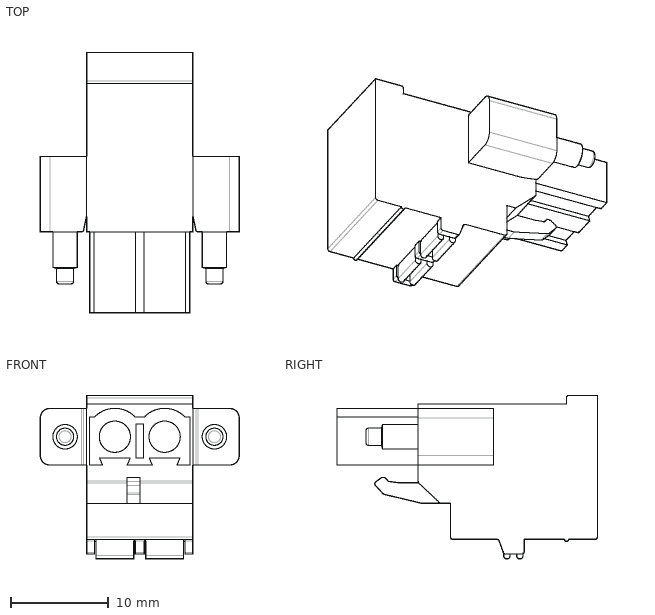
import cadquery as cq
import math


POLE_PITCH = 5.08
POLE_X = (-POLE_PITCH / 2, POLE_PITCH / 2)

TOTAL_LENGTH = 26.6

HOUSING_WIDTH = 10.83
HOUSING_LENGTH = 18.33
HOUSING_TOP = 3.35
HOUSING_BOTTOM = -10.48
REAR_LIP_TOP = 4.23
REAR_LIP_DEPTH = 3.2
STEP_Y = 3.3
STEP_Z = -6.8
RAMP_TOP_Z = -4.65
RAMP_LENGTH = 2.3
HOUSING_ROUND = 0.27
RIDGE_Y = 15.15
RIDGE_RADIUS = 0.2

PLUG_WIDTH = 10.21
PLUG_LENGTH = TOTAL_LENGTH - HOUSING_LENGTH
PLUG_BOTTOM = -2.9
PLUG_SHOULDER_Z = 2.0
DOME_RADIUS = 2.9
BORE_RADIUS = 1.6
BORE_DEPTH = 1.0
SLOT_WIDTH = 0.77
SLOT_TOP = 1.28
KEYWAY_TOP_Z = -2.18
KEYWAY_TOP_WIDTH = 3.1
KEYWAY_MOUTH_WIDTH = 2.53

FLANGE_SPAN = 20.32
FLANGE_LENGTH = 7.71
FLANGE_HEIGHT = 5.8
FLANGE_ROUND = 0.98
FLANGE_RELIEF_WIDTH = 0.35
FLANGE_RELIEF_LENGTH = 1.65
FLANGE_RELIEF_ROUND = 0.2
SCREW_X = 1.5 * POLE_PITCH
SCREW_RADIUS = 1.25
SCREW_SHANK_LENGTH = 3.62
SCREW_CONE_LENGTH = 0.1
SCREW_TIP_RADIUS = 0.88
SCREW_LENGTH = 5.32
SCREW_TIP_ROUND = 0.27

LATCH_WIDTH = 1.35
LATCH_X = -0.65
LATCH_ARM_TOP_Z = -4.68
LATCH_HOOK_TOP_Z = -4.15
LATCH_NOSE = (-4.55, -4.75)
LATCH_NOSE_ROUND = 0.27
LATCH_CHIN = (-3.5, -5.88)
LATCH_CHIN_ROUND = 0.53

RIB_BOTTOM = -11.97
RIB_REAR_Y = 10.85
RIB_FRONT_TOP_Y = 8.22
RIB_FRONT_BOTTOM_Y = 8.75
RIB_ROUND = 0.25
RIB_GAP = 4.15
PLATE_BOTTOM = -12.48
PLATE_WIDTH = 3.88
PLATE_THICKNESS = 0.66
PLATE_Y = (9.07, 10.4)


def side_profile(x_center):
    """Sketch plane with Y to the right and Z up, set at the given X."""
    return cq.Workplane("YZ", origin=(x_center, 0, 0))


def box_between(x_range, y_range, z_range):
    """Box filling the given ranges along X, Y and Z."""
    sizes = [high - low for low, high in (x_range, y_range, z_range)]
    corner = (x_range[0], y_range[0], z_range[0])
    return cq.Workplane("XY").box(*sizes, centered=False).translate(corner)


def make_housing():
    lip_front_y = HOUSING_LENGTH - REAR_LIP_DEPTH
    body = (
        side_profile(0)
        .moveTo(HOUSING_LENGTH, REAR_LIP_TOP)
        .lineTo(lip_front_y, REAR_LIP_TOP)
        .lineTo(lip_front_y, HOUSING_TOP)
        .lineTo(0, HOUSING_TOP)
        .lineTo(0, RAMP_TOP_Z)
        .lineTo(RAMP_LENGTH, STEP_Z)
        .lineTo(STEP_Y, STEP_Z)
        .lineTo(STEP_Y, HOUSING_BOTTOM)
        .lineTo(RIB_FRONT_TOP_Y, HOUSING_BOTTOM)
        .lineTo(RIB_FRONT_BOTTOM_Y, RIB_BOTTOM)
        .lineTo(RIB_REAR_Y, RIB_BOTTOM)
        .lineTo(RIB_REAR_Y, HOUSING_BOTTOM)
        .lineTo(HOUSING_LENGTH, HOUSING_BOTTOM)
        .close()
        .extrude(HOUSING_WIDTH / 2, both=True)
    )
    rounded_corners = (
        (lip_front_y, REAR_LIP_TOP, HOUSING_ROUND),
        (0, RAMP_TOP_Z, HOUSING_ROUND),
        (STEP_Y, HOUSING_BOTTOM, HOUSING_ROUND),
        (HOUSING_LENGTH, HOUSING_BOTTOM, HOUSING_ROUND),
        (RIB_FRONT_TOP_Y, HOUSING_BOTTOM, RIB_ROUND),
        (RIB_FRONT_BOTTOM_Y, RIB_BOTTOM, RIB_ROUND),
        (RIB_REAR_Y, RIB_BOTTOM, RIB_ROUND),
    )
    for y, z, radius in rounded_corners:
        body = body.edges(cq.NearestToPointSelector((0, y, z))).fillet(radius)
    for x in POLE_X:
        rib_gap = box_between(
            (x - RIB_GAP / 2, x + RIB_GAP / 2), (STEP_Y, RIB_REAR_Y), (RIB_BOTTOM, HOUSING_BOTTOM)
        )
        body = body.cut(rib_gap)
    ridge = (
        side_profile(0)
        .center(RIDGE_Y, HOUSING_BOTTOM)
        .circle(RIDGE_RADIUS)
        .extrude(HOUSING_WIDTH / 2, both=True)
    )
    return body.union(ridge)


def make_plug():
    plug = box_between(
        (-PLUG_WIDTH / 2, PLUG_WIDTH / 2), (-PLUG_LENGTH, 0), (PLUG_BOTTOM, PLUG_SHOULDER_Z)
    )
    dome_limits = box_between(
        (-PLUG_WIDTH / 2, PLUG_WIDTH / 2), (-PLUG_LENGTH, 0), (0, DOME_RADIUS)
    )
    for x in POLE_X:
        dome = cq.Workplane("XZ").center(x, 0).circle(DOME_RADIUS).extrude(PLUG_LENGTH)
        plug = plug.union(dome.intersect(dome_limits))
    for x in POLE_X:
        bore = (
            cq.Workplane("XZ", origin=(x, -PLUG_LENGTH, 0))
            .circle(BORE_RADIUS)
            .extrude(-BORE_DEPTH)
        )
        keyway = (
            cq.Workplane("XZ", origin=(x, 0, 0))
            .moveTo(-KEYWAY_TOP_WIDTH / 2, KEYWAY_TOP_Z)
            .lineTo(KEYWAY_TOP_WIDTH / 2, KEYWAY_TOP_Z)
            .lineTo(KEYWAY_MOUTH_WIDTH / 2, PLUG_BOTTOM)
            .lineTo(-KEYWAY_MOUTH_WIDTH / 2, PLUG_BOTTOM)
            .close()
            .extrude(PLUG_LENGTH)
        )
        plug = plug.cut(bore).cut(keyway)
    slot = box_between(
        (-SLOT_WIDTH / 2, SLOT_WIDTH / 2), (-PLUG_LENGTH, 0), (KEYWAY_TOP_Z, SLOT_TOP)
    )
    return plug.cut(slot)


def make_right_flange():
    inner_x = HOUSING_WIDTH / 2
    relief_x = inner_x + FLANGE_RELIEF_WIDTH
    outer_x = FLANGE_SPAN / 2
    flange = (
        cq.Workplane("XY")
        .moveTo(0, FLANGE_LENGTH)
        .lineTo(0, FLANGE_RELIEF_LENGTH)
        .lineTo(inner_x, FLANGE_RELIEF_LENGTH)
        .lineTo(relief_x, 0)
        .lineTo(outer_x, 0)
        .lineTo(outer_x, FLANGE_LENGTH)
        .close()
        .extrude(FLANGE_HEIGHT / 2, both=True)
    )
    flange = flange.edges("|Y and >X").fillet(FLANGE_ROUND)
    return flange.edges(cq.NearestToPointSelector((relief_x, 0, 0))).fillet(FLANGE_RELIEF_ROUND)


def make_right_screw():
    arc_center_radius = SCREW_TIP_RADIUS - SCREW_TIP_ROUND
    arc_center_y = SCREW_TIP_ROUND - SCREW_LENGTH
    arc_mid_offset = SCREW_TIP_ROUND * math.sqrt(0.5)
    return (
        side_profile(SCREW_X)
        .lineTo(0, SCREW_RADIUS)
        .lineTo(-SCREW_SHANK_LENGTH, SCREW_RADIUS)
        .lineTo(-SCREW_SHANK_LENGTH - SCREW_CONE_LENGTH, SCREW_TIP_RADIUS)
        .lineTo(arc_center_y, SCREW_TIP_RADIUS)
        .threePointArc(
            (arc_center_y - arc_mid_offset, arc_center_radius + arc_mid_offset),
            (-SCREW_LENGTH, arc_center_radius),
        )
        .lineTo(-SCREW_LENGTH, 0)
        .close()
        .revolve(360, (0, 0, 0), (1, 0, 0))
    )


def make_latch():
    """Arm reaching forward from the ramp, with an upward hook at its tip."""
    arm_flat_end_y = -2.0
    hook_foot = (-3.0, -4.55)
    hook_rear_y = -3.38
    hook_front_y = -3.7
    underside_bend_y = 0.4
    latch = (
        side_profile(LATCH_X)
        .moveTo(RAMP_LENGTH, STEP_Z)
        .lineTo(HOUSING_ROUND, LATCH_ARM_TOP_Z)
        .lineTo(arm_flat_end_y, LATCH_ARM_TOP_Z)
        .lineTo(*hook_foot)
        .lineTo(hook_rear_y, LATCH_HOOK_TOP_Z)
        .lineTo(hook_front_y, LATCH_HOOK_TOP_Z)
        .lineTo(*LATCH_NOSE)
        .lineTo(*LATCH_CHIN)
        .lineTo(underside_bend_y, STEP_Z)
        .close()
        .extrude(LATCH_WIDTH / 2, both=True)
    )
    for corner, radius in ((LATCH_NOSE, LATCH_NOSE_ROUND), (LATCH_CHIN, LATCH_CHIN_ROUND)):
        latch = latch.edges(cq.NearestToPointSelector((LATCH_X, *corner))).fillet(radius)
    return latch


def make_plate(x_center, y_center):
    """Upright plate with a fully rounded lower edge."""
    half_thickness = PLATE_THICKNESS / 2
    return (
        side_profile(x_center)
        .moveTo(y_center + half_thickness, HOUSING_BOTTOM)
        .lineTo(y_center + half_thickness, PLATE_BOTTOM + half_thickness)
        .threePointArc(
            (y_center, PLATE_BOTTOM),
            (y_center - half_thickness, PLATE_BOTTOM + half_thickness),
        )
        .lineTo(y_center - half_thickness, HOUSING_BOTTOM)
        .close()
        .extrude(PLATE_WIDTH / 2, both=True)
    )


right_side = make_right_flange().union(make_right_screw())
result = (
    make_housing()
    .union(make_plug())
    .union(right_side)
    .union(right_side.mirror("YZ"))
    .union(make_latch())
)

for plate_x in POLE_X:
    for plate_y in PLATE_Y:
        result = result.union(make_plate(plate_x, plate_y))